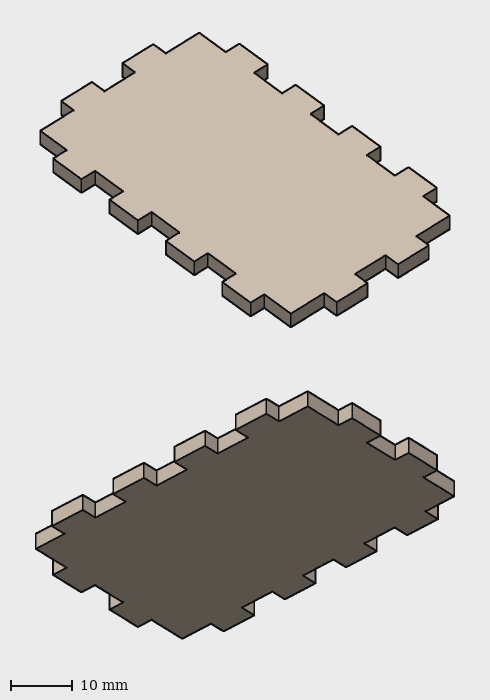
import cadquery as cq

body_length = 60.0
body_width = 35.0
thickness = 3.0

tab_depth = thickness
tab_width = 6.8
tab_pitch = 13.5
tabs_along_length = 4
tabs_along_width = 2


def centered_positions(count):
    """Tab centres along one edge, evenly pitched about its middle."""
    return [(i - (count - 1) / 2) * tab_pitch for i in range(count)]


def bar(size_x, size_y, center_x, center_y):
    """Full-thickness block resting on Z = 0 to Z = thickness."""
    return (
        cq.Workplane("XY")
        .center(center_x, center_y)
        .rect(size_x, size_y)
        .extrude(thickness)
    )


def add_tabs(plate):
    """Each bar crosses the whole body, leaving a matching tab on both opposite edges."""
    for x in centered_positions(tabs_along_length):
        plate = plate.union(bar(tab_width, body_width + 2 * tab_depth, x, 0))
    for y in centered_positions(tabs_along_width):
        plate = plate.union(bar(body_length + 2 * tab_depth, tab_width, 0, y))
    return plate


body = bar(body_length, body_width, 0, 0)
result = add_tabs(body).clean()